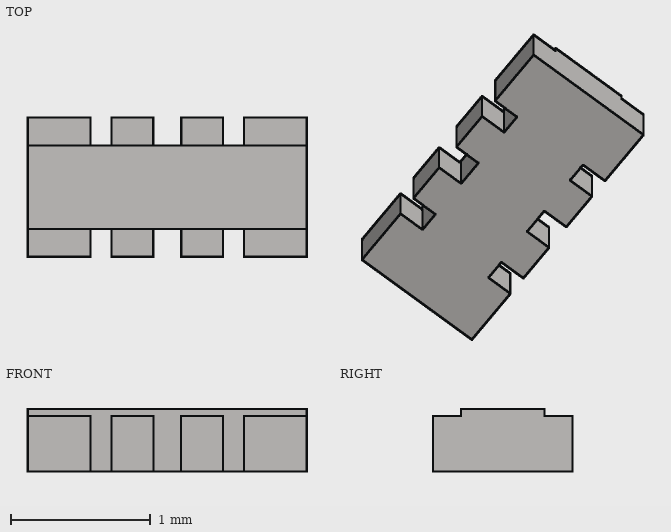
import cadquery as cq

length = 2.0
width = 1.0
height = 0.45

body_width = 0.6
terminal_height = 0.4
terminal_depth = (width - body_width) / 2
end_terminal_length = 0.45
inner_terminal_length = 0.3
inner_terminal_spacing = 0.5

end_terminal_x = (length - end_terminal_length) / 2
inner_terminal_x = inner_terminal_spacing / 2
terminal_y = (body_width + terminal_depth) / 2


def block(x_size, y_size, z_size, x=0, y=0):
    """Box standing on Z = 0, centred on (x, y)."""
    return cq.Workplane("XY").center(x, y).box(x_size, y_size, z_size, centered=(True, True, False))


result = block(length, body_width, height)

for x_side in (-1, 1):
    for y_side in (-1, 1):
        y = y_side * terminal_y
        end_terminal = block(end_terminal_length, terminal_depth, terminal_height, x_side * end_terminal_x, y)
        inner_terminal = block(inner_terminal_length, terminal_depth, terminal_height, x_side * inner_terminal_x, y)
        result = result.union(end_terminal).union(inner_terminal)

result = result.clean()